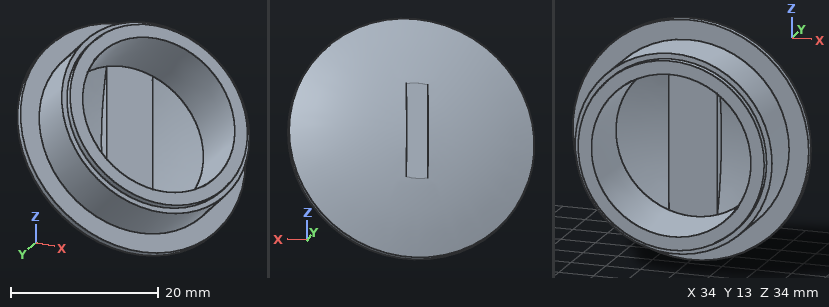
import cadquery as cq
import math

flange_radius = 17.0
flange_thickness = 1.0
sleeve_radius = 14.18
sleeve_length = 7.0
lip_radius = 13.4
lip_length = 1.0
dome_height = 4.0

mouth_radius = 11.5
floor_rim_radius = 11.12
cavity_depth = 9.0

bar_width = 7.0
slot_width = 3.0
slot_depth = 0.6

sleeve_start = lip_length
flange_start = sleeve_start + sleeve_length
dome_start = flange_start + flange_thickness
apex = dome_start + dome_height

dome_radius = (flange_radius**2 + dome_height**2) / (2 * dome_height)
dome_centre = apex - dome_radius
inner_dome_radius = math.hypot(floor_rim_radius, cavity_depth - dome_centre)


def point_on_dome(radius, distance_from_axis):
    """Profile point on a dome of the given radius."""
    return distance_from_axis, dome_centre + math.sqrt(radius**2 - distance_from_axis**2)


def revolve_profile(profile):
    """Turn a closed half profile about the Y axis."""
    return profile.close().revolve(360, (0, 0, 0), (0, 1, 0))


body = revolve_profile(
    cq.Workplane("XY")
    .lineTo(lip_radius, 0)
    .lineTo(lip_radius, sleeve_start)
    .lineTo(sleeve_radius, sleeve_start)
    .lineTo(sleeve_radius, flange_start)
    .lineTo(flange_radius, flange_start)
    .lineTo(flange_radius, dome_start)
    .threePointArc(point_on_dome(dome_radius, flange_radius / 2), (0, apex))
)

cavity = revolve_profile(
    cq.Workplane("XY")
    .lineTo(mouth_radius, 0)
    .lineTo(floor_rim_radius, cavity_depth)
    .threePointArc(
        point_on_dome(inner_dome_radius, floor_rim_radius / 2),
        point_on_dome(inner_dome_radius, 0),
    )
)

bar_height = apex - cavity_depth
bar = cq.Workplane("XY").box(bar_width, bar_height, 2 * flange_radius)
bar = bar.translate((0, cavity_depth + bar_height / 2, 0))

slot = cq.Workplane("XY").box(slot_width, 2 * slot_depth, 2 * flange_radius)
slot = slot.translate((0, apex, 0))

result = body.cut(cavity.cut(bar)).cut(slot)